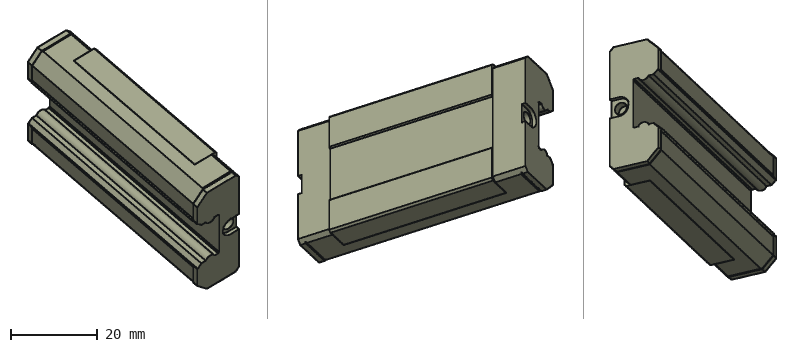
import cadquery as cq


length = 60.8
depth = 13.3
block_width = 32.0
back_y = depth / 2

block_length = 43.4
pad_height = 0.4
pad_inner_z = 7.0
pad_outer_chamfer = 0.55
pad_inner_chamfer = 0.35

shell_half_width = 15.9
shell_back_depth = 0.55
back_chamfer = 1.05

cap_thickness = 1.5
cap_front_depth = 13.15
cap_front_chamfer = 2.9

body_front_inset = 0.1
body_front_chamfer = 3.0
body_end_chamfer = 0.3
lip_root_z = 8.0

web_front_depth = 6.6
channel_half_width = 6.35
corner_chamfer = 0.3
mouth_depth = 11.9
mouth_end_depth = 13.0
mouth_half_width = 7.4
bump_start_depth = 7.95
bump_end_depth = 10.6
bump_height = 0.85

port_depth = 2.95
port_pocket_radius = 2.5
port_pocket_length = 1.0
port_hole_radius = 1.5
port_hole_length = 2.0


def y_at(depth_from_back):
    """Y coordinate at a distance in front of the mounting face."""
    return back_y - depth_from_back


def extrude_along_x(sketch, x_length):
    """Extrude a closed YZ outline equally to both sides of X = 0."""
    return sketch.extrude(x_length / 2, both=True)


def mirrored_pair(half, plane):
    """Join a shape with its mirror image."""
    return half.union(half.mirror(plane))


def half_profile(front, front_chamfer, front_edge):
    """Upper half of the C-shaped section; front_edge runs down the front face to the channel mouth."""
    bump_middle = (bump_start_depth + bump_end_depth) / 2
    sketch = (
        cq.Workplane("YZ")
        .moveTo(y_at(shell_back_depth), 0)
        .lineTo(y_at(shell_back_depth), shell_half_width - back_chamfer)
        .lineTo(y_at(shell_back_depth + back_chamfer), shell_half_width)
        .lineTo(y_at(front - front_chamfer), shell_half_width)
        .lineTo(y_at(front), shell_half_width - front_chamfer)
    )
    for edge_depth, edge_z in front_edge:
        sketch = sketch.lineTo(y_at(edge_depth), edge_z)
    return (
        sketch.lineTo(y_at(mouth_end_depth), mouth_half_width)
        .lineTo(y_at(mouth_depth), channel_half_width)
        .lineTo(y_at(bump_end_depth), channel_half_width)
        .threePointArc(
            (y_at(bump_middle), channel_half_width - bump_height),
            (y_at(bump_start_depth), channel_half_width),
        )
        .lineTo(y_at(web_front_depth + corner_chamfer), channel_half_width)
        .lineTo(y_at(web_front_depth), channel_half_width - corner_chamfer)
        .lineTo(y_at(web_front_depth), 0)
        .close()
    )


def make_end_caps():
    """Two thin C-shaped plates, one at each end."""
    front_edge = [(cap_front_depth, mouth_half_width)]
    sketch = half_profile(cap_front_depth, cap_front_chamfer, front_edge)
    half = sketch.extrude(cap_thickness).translate((length / 2 - cap_thickness, 0, 0))
    return mirrored_pair(mirrored_pair(half, "XY"), "YZ")


def make_body():
    """C-shaped body with a sharp lip along the channel mouth and chamfered ends on its outer sides."""
    body_length = length - 2 * cap_thickness
    front = cap_front_depth - body_front_inset
    front_edge = [(front, lip_root_z), (depth, mouth_half_width)]
    sketch = half_profile(front, body_front_chamfer, front_edge)
    half = extrude_along_x(sketch, body_length)
    half = half.faces(">Z").edges("|Y").chamfer(body_end_chamfer)
    return mirrored_pair(half, "XY")


def make_block():
    """Steel block whose mounting face is two raised pads with a shallow recess between them."""
    half_width = block_width / 2
    sketch = (
        cq.Workplane("YZ")
        .moveTo(y_at(web_front_depth), 0)
        .lineTo(y_at(pad_height), 0)
        .lineTo(y_at(pad_height), pad_inner_z)
        .lineTo(y_at(pad_inner_chamfer), pad_inner_z)
        .lineTo(y_at(0), pad_inner_z + pad_inner_chamfer)
        .lineTo(y_at(0), half_width - pad_outer_chamfer)
        .lineTo(y_at(pad_outer_chamfer), half_width)
        .lineTo(y_at(web_front_depth), half_width)
        .close()
    )
    return mirrored_pair(extrude_along_x(sketch, block_length), "XY")


def make_port():
    """Cutter for one lubrication port: a U-shaped pocket open to the back, with a blind hole."""
    end_plane = cq.Workplane("YZ", origin=(-length / 2, y_at(port_depth), 0))
    pocket = end_plane.circle(port_pocket_radius).extrude(port_pocket_length)
    slot = (
        end_plane.center(port_depth / 2, 0)
        .rect(port_depth, 2 * port_pocket_radius)
        .extrude(port_pocket_length)
    )
    hole = end_plane.circle(port_hole_radius).extrude(port_pocket_length + port_hole_length)
    return pocket.union(slot).union(hole)


result = make_body().union(make_end_caps()).union(make_block())
result = result.cut(mirrored_pair(make_port(), "YZ"))